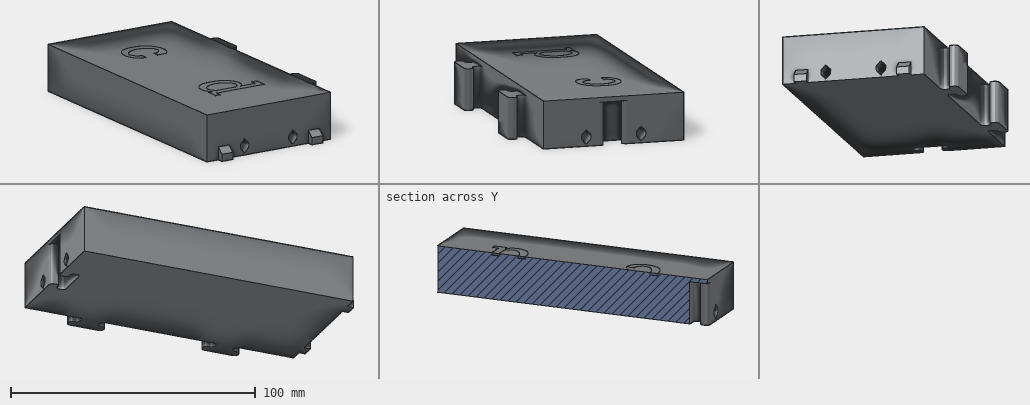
import cadquery as cq
import math

diagonal = math.sqrt(0.5)

overall_length = 122.7

tile_size = 60.0
tile_count = 2
block_length = tile_count * tile_size
block_width = tile_size
block_height = 20.0
tile_centers = [(index - (tile_count - 1) / 2) * tile_size for index in range(tile_count)]

tongue_length = 8.0
tongue_height = 17.4
slot_height = 18.0
neck_length = 4.0
neck_half_width = 4.0
neck_radius = 1.7
head_half_width = 8.0
head_radius = 1.7

catch_spacing = 43.7
catch_width = 5.3
catch_reach = overall_length - block_length
catch_root_height = 5.5
catch_tip_height = 3.1

bore_spacing = 23.4
bore_radius = 2.1
bore_height = 3.9

inlay_depth = 1.0


def tongue_outline(base):
    """Closed T outline from the line y = 0 outwards along +Y, with rounded head and neck corners."""
    root = neck_half_width + neck_radius
    neck_bulge = root - neck_radius * diagonal
    near_bulge = neck_radius * (1 - diagonal)
    head_straight = head_half_width - head_radius
    head_bulge = head_straight + head_radius * diagonal
    lower_bulge = neck_length + head_radius * (1 - diagonal)
    upper_bulge = tongue_length - head_radius * (1 - diagonal)
    half = (
        base.moveTo(0, 0)
        .lineTo(root, 0)
        .threePointArc((neck_bulge, near_bulge), (neck_half_width, neck_radius))
        .lineTo(neck_half_width, neck_length - neck_radius)
        .threePointArc((neck_bulge, neck_length - near_bulge), (root, neck_length))
        .lineTo(head_straight, neck_length)
        .threePointArc((head_bulge, lower_bulge), (head_half_width, neck_length + head_radius))
        .lineTo(head_half_width, tongue_length - head_radius)
        .threePointArc((head_bulge, upper_bulge), (head_straight, tongue_length))
        .lineTo(0, tongue_length)
    )
    return half.mirrorY()


def tongue(height):
    """Upright T-shaped bar, also used as the cutter for the slot."""
    return tongue_outline(cq.Workplane("XY")).extrude(height)


def catch(center_y):
    """Prism with a sloping top, standing on the +X side."""
    face_x = block_length / 2
    return (
        cq.Workplane("XZ", origin=(face_x, center_y, 0))
        .polyline([(0, 0), (catch_reach, 0), (catch_reach, catch_tip_height), (0, catch_root_height)])
        .close()
        .extrude(catch_width / 2, both=True)
    )


def bore(center_y):
    """Through hole along X: arcs at its sides, closed by tangents that meet in a tip above and below."""
    plane = cq.Workplane("YZ", origin=(-block_length / 2, center_y, bore_height))
    flank = bore_radius * diagonal
    tip = bore_radius / diagonal
    return (
        plane.moveTo(flank, -flank)
        .threePointArc((bore_radius, 0), (flank, flank))
        .lineTo(0, tip)
        .lineTo(-flank, flank)
        .threePointArc((-bore_radius, 0), (-flank, -flank))
        .lineTo(0, -tip)
        .close()
        .extrude(block_length)
    )


def inlay_plane(center_x):
    """Floor of the letter recess on one tile."""
    return cq.Workplane("XY", origin=(center_x, 0, block_height - inlay_depth))


def letter_c(center_x):
    """Letter c, drawn about the middle of its tile."""
    outer_curve = [(0.1, 6.1), (-5.8, 3.2), (-7.9, -3.3), (-5.8, -9.6), (0, -12.3), (7.4, -8.3)]
    inner_curve = [(-0.1, -10.0), (-4.4, -3.0), (-0.1, 3.4), (4.0, 1.1)]
    return (
        inlay_plane(center_x)
        .moveTo(7.0, 3.5)
        .spline(outer_curve, includeCurrent=True)
        .lineTo(7.4, -6.4)
        .lineTo(4.0, -6.4)
        .lineTo(4.0, -7.7)
        .spline(inner_curve, includeCurrent=True)
        .lineTo(4.0, -0.5)
        .lineTo(7.0, -0.5)
        .close()
        .extrude(inlay_depth)
    )


def letter_d(center_x):
    """Letter d with its open counter, drawn about the middle of its tile."""
    stem_left = 2.6
    stem_right = 5.8
    bowl_curve = [(-2.2, -12.3), (-7.1, -9.7), (-9.0, -3.3), (-7.1, 3.3), (-2.2, 6.1), (stem_left, 3.9)]
    counter_curve = [(-1.5, 3.7), (-5.8, -3.1), (-1.5, -9.7), (stem_left, -7.6)]
    body = (
        inlay_plane(center_x)
        .moveTo(stem_left, 3.9)
        .lineTo(stem_left, 11.0)
        .lineTo(-0.1, 11.0)
        .lineTo(-0.1, 13.5)
        .lineTo(stem_right, 13.5)
        .lineTo(stem_right, -9.7)
        .lineTo(8.5, -9.7)
        .lineTo(8.5, -11.9)
        .lineTo(3.0, -11.9)
        .lineTo(3.0, -10.2)
        .spline(bowl_curve, includeCurrent=True)
        .close()
        .extrude(inlay_depth)
    )
    counter = (
        inlay_plane(center_x)
        .moveTo(stem_left, 1.5)
        .spline(counter_curve, includeCurrent=True)
        .close()
        .extrude(inlay_depth)
    )
    return body.cut(counter)


inlay_c = letter_c(tile_centers[0])
inlay_d = letter_d(tile_centers[1])

housing = cq.Workplane("XY").box(block_length, block_width, block_height, centered=(True, True, False))
for center_x in tile_centers:
    housing = housing.union(tongue(tongue_height).translate((center_x, block_width / 2, 0)))
for side in (-1, 1):
    housing = housing.union(catch(side * catch_spacing / 2))
    housing = housing.cut(bore(side * bore_spacing / 2))
slot = tongue(slot_height).rotate((0, 0, 0), (0, 0, 1), -90).translate((-block_length / 2, 0, 0))
housing = housing.cut(slot).cut(inlay_c).cut(inlay_d)

result = cq.Compound.makeCompound([housing.val(), inlay_c.val(), inlay_d.val()])